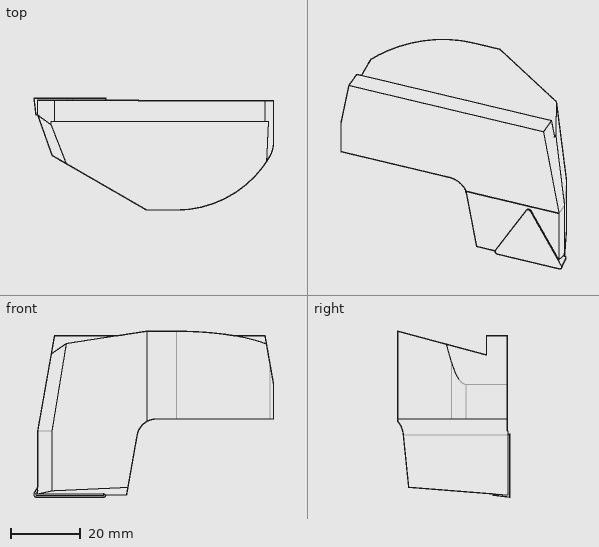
import cadquery as cq
import math

WIDTH = 69.0
DEPTH = 31.5
HEIGHT = 47.8
CUT_MARGIN = 13.8

SIDE_LEAN = math.radians(10)
RIB_TOP = 46.5
STEM_LEFT = 1.1
STEM_SHOULDER = 19.1
RIGHT_SHOULDER = 32.5
ARM_UNDERSIDE = 22.5
STEM_CORNER_X = 30.6
ARM_FILLET = 5.5
STEM_PAD = 0.2

FLAT_LEFT = 32.5
FLAT_RIGHT = 41.0
NOSE_RADIUS = 31.1
NOSE_BLEND = 8.3
FLANK_ANGLE = math.radians(30)
BEVEL_LEAN = math.radians(7)
BEVEL_START = 4.15
BEVEL_END = 15.8
BEVEL_END_X = FLAT_LEFT - (DEPTH - BEVEL_END) / math.tan(FLANK_ANGLE)
BEVEL_ANGLE = math.atan2(BEVEL_END_X - STEM_LEFT, BEVEL_END - BEVEL_START)

RIB_THICKNESS = 6.0
RAMP_ANGLE = math.radians(15)
STEM_BOTTOM = 0.6
BOTTOM_ANGLE = math.radians(4.5)

INSERT_INSCRIBED_RADIUS = 6.35
INSERT_CORNER = 0.8
INSERT_THICKNESS = 4.75
INSERT_CLEARANCE = 7.0
INSERT_FACE_Y = 0.7


def front_block():
    """Holder silhouette in XZ, extruded over the full depth."""
    left_shift = (RIB_TOP - STEM_SHOULDER) * math.tan(SIDE_LEAN)
    right_shift = (HEIGHT - RIGHT_SHOULDER) * math.tan(SIDE_LEAN)
    top_shift = left_shift + (HEIGHT - RIB_TOP) * math.tan(SIDE_LEAN)
    foot_x = STEM_CORNER_X - ARM_UNDERSIDE * math.tan(SIDE_LEAN)
    profile = [
        (STEM_LEFT, 0),
        (STEM_LEFT, STEM_SHOULDER),
        (STEM_LEFT + top_shift, HEIGHT),
        (WIDTH - right_shift, HEIGHT),
        (WIDTH, RIGHT_SHOULDER),
        (WIDTH, ARM_UNDERSIDE),
        (STEM_CORNER_X, ARM_UNDERSIDE),
        (foot_x, 0),
    ]
    block = (
        cq.Workplane("XZ", origin=(0, STEM_PAD, 0))
        .polyline(profile).close().extrude(DEPTH + STEM_PAD)
    )
    corner = cq.selectors.NearestToPointSelector((STEM_CORNER_X, -DEPTH / 2, ARM_UNDERSIDE))
    return block.edges(corner).fillet(ARM_FILLET)


def plan_block():
    """Plan outline with flank, front flat and rounded nose, extruded upward."""
    nose_center_y = NOSE_RADIUS - DEPTH
    nose_end_y = nose_center_y - math.sqrt(NOSE_RADIUS**2 - (WIDTH - FLAT_RIGHT)**2)
    middle_angle = math.asin((WIDTH - FLAT_RIGHT) / NOSE_RADIUS) / 2
    nose_middle = (
        FLAT_RIGHT + NOSE_RADIUS * math.sin(middle_angle),
        nose_center_y - NOSE_RADIUS * math.cos(middle_angle),
    )
    block = (
        cq.Workplane("XY")
        .moveTo(WIDTH, STEM_PAD)
        .lineTo(WIDTH, nose_end_y)
        .threePointArc(nose_middle, (FLAT_RIGHT, -DEPTH))
        .lineTo(FLAT_LEFT, -DEPTH)
        .lineTo(BEVEL_END_X, -BEVEL_END)
        .lineTo(STEM_LEFT, -BEVEL_START)
        .lineTo(STEM_LEFT, STEM_PAD)
        .close().extrude(HEIGHT)
    )
    corner = cq.selectors.NearestToPointSelector((WIDTH, nose_end_y, HEIGHT / 2))
    return block.edges(corner).fillet(NOSE_BLEND)


def side_prism(points):
    """Cutting prism with a YZ section, running across the whole width."""
    return (
        cq.Workplane("YZ", origin=(-CUT_MARGIN, 0, 0))
        .polyline(points).close().extrude(WIDTH + 2 * CUT_MARGIN)
    )


def top_cutter():
    """Space above the ramp in front of the rib, and above the rib."""
    ramp_low = HEIGHT - (DEPTH - RIB_THICKNESS) * math.tan(RAMP_ANGLE)
    return side_prism([
        (-DEPTH, HEIGHT),
        (-RIB_THICKNESS, ramp_low),
        (-RIB_THICKNESS, RIB_TOP),
        (CUT_MARGIN, RIB_TOP),
        (CUT_MARGIN, HEIGHT + CUT_MARGIN),
        (-DEPTH, HEIGHT + CUT_MARGIN),
    ])


def bottom_cutter():
    """Space below the tilted stem bottom."""
    slope = math.tan(BOTTOM_ANGLE)
    front = DEPTH + CUT_MARGIN
    return side_prism([
        (CUT_MARGIN, STEM_BOTTOM - CUT_MARGIN * slope),
        (-front, STEM_BOTTOM + front * slope),
        (-front, -CUT_MARGIN),
        (CUT_MARGIN, -CUT_MARGIN),
    ])


def pad_relief():
    """Space behind the back face above the stem pad."""
    return side_prism([
        (0, STEM_SHOULDER),
        (CUT_MARGIN, STEM_SHOULDER),
        (CUT_MARGIN, HEIGHT),
        (0, HEIGHT),
    ])


def bevel_cutter():
    """Wedge that leans the left bevel back above the stem shoulder."""
    rise = HEIGHT - STEM_SHOULDER
    section = cq.Plane(
        origin=(STEM_LEFT, -BEVEL_START, STEM_SHOULDER),
        xDir=(math.cos(BEVEL_ANGLE), math.sin(BEVEL_ANGLE), 0),
        normal=(math.sin(BEVEL_ANGLE), -math.cos(BEVEL_ANGLE), 0),
    )
    return (
        cq.Workplane(section)
        .polyline([(0, 0), (rise * math.tan(BEVEL_LEAN), rise), (-CUT_MARGIN, rise), (-CUT_MARGIN, 0)])
        .close().extrude(DEPTH, both=True)
    )


def make_insert():
    """Equilateral insert with rounded corners, narrowing toward its seat."""
    half_side = INSERT_INSCRIBED_RADIUS * math.sqrt(3)
    center_x = half_side - INSERT_CORNER * (math.sqrt(3) - 1)
    triangle = [
        (center_x - half_side, 0),
        (center_x + half_side, 0),
        (center_x, 3 * INSERT_INSCRIBED_RADIUS),
    ]
    outline = cq.Sketch().polygon(triangle + triangle[:1]).vertices().fillet(INSERT_CORNER)
    return (
        cq.Workplane("XZ", origin=(0, INSERT_FACE_Y, 0))
        .placeSketch(outline)
        .extrude(INSERT_THICKNESS, taper=INSERT_CLEARANCE)
    )


def make_holder(insert):
    """Holder with a seat that matches the insert."""
    holder = front_block().intersect(plan_block())
    for cutter in (top_cutter(), bottom_cutter(), pad_relief(), bevel_cutter(), insert):
        holder = holder.cut(cutter)
    return holder.solids()


insert = make_insert()
holder = make_holder(insert)
result = cq.Compound.makeCompound([holder.val(), insert.val()])